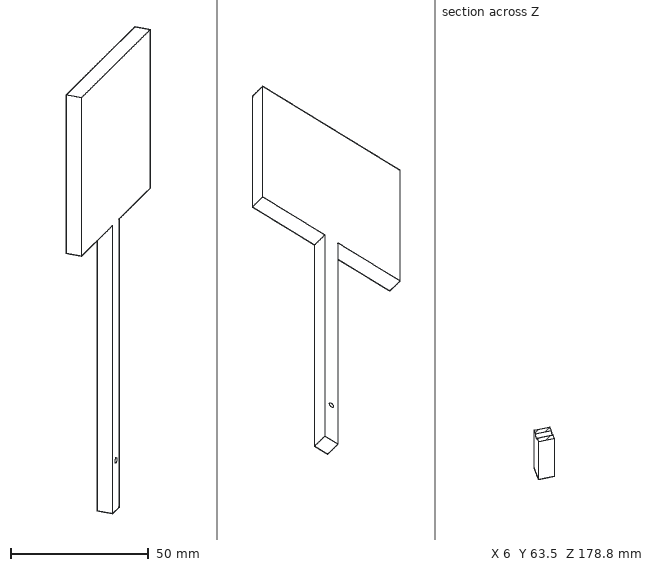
import cadquery as cq

total_height = 178.8
thickness = 6.0
panel_width = 63.5
panel_height = panel_width
stem_width = thickness
hole_diameter = 2.0
hole_height = 20.0

stem_height = total_height - panel_height

stem = cq.Workplane("XY").box(thickness, stem_width, stem_height, centered=(True, True, False))

panel = (
    cq.Workplane("XY")
    .workplane(offset=stem_height)
    .box(thickness, panel_width, panel_height, centered=(True, True, False))
)

cross_hole = (
    cq.Workplane("YZ")
    .center(0, hole_height)
    .circle(hole_diameter / 2)
    .extrude(thickness, both=True)
)

result = stem.union(panel).cut(cross_hole)